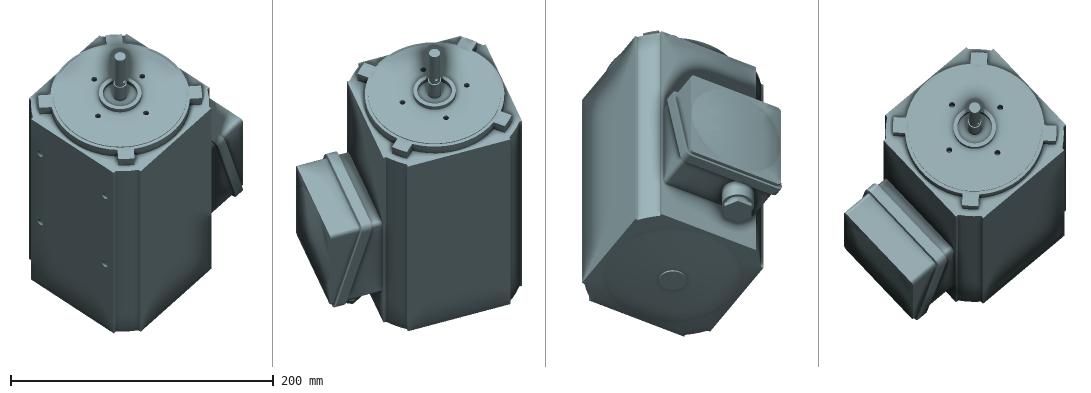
import cadquery as cq
import math


overall_depth = 157.5

housing_width = 112.0
housing_height = 188.9
face_width = 82.8
corner_arc_radius = 67.9

bottom_dome_radius = 52.1
bottom_dome_height = 4.5
button_radius = 10.5
button_bottom_z = -5.5

flange_radius = 53.1
flange_thickness = 7.7
tab_end_radius = 62.4
tab_width = 12.5
face_disc_radius = 50.6
face_disc_height = 0.7
flange_top_z = housing_height + flange_thickness
face_top_z = flange_top_z + face_disc_height

ring_outer_radius = 16.2
ring_inner_radius = 13.2
ring_height = 3.7
ring_recess_depth = ring_height
face_hole_count = 4
face_hole_circle_radius = 26.0
face_hole_diameter = 4.5
face_hole_depth = 7.5

collar_diameter = 10.0
collar_top_z = 213.0
shaft_diameter = 8.5
shaft_top_z = 244.0
pin_hole_diameter = 2.5
pin_hole_z = 217.5

side_hole_spacing_x = 64.5
side_hole_levels = (74.8, 155.0)
side_hole_diameter = 5.7
side_hole_depth = 10.0

box_size = 78.8
box_center_z = 72.0
box_corner_radius = 3.2
box_end_y = 98.0
lid_dome_radius = 38.5
lid_dome_height = overall_depth - housing_width / 2 - box_end_y

band_size = 84.3
band_corner_radius = 5.2
band_thickness_y = 8.2
band_low_y_at_top = 64.9
band_low_y_at_bottom = 87.8

gland_x = -14.5
gland_y = 75.3
gland_radius = 12.2
gland_bottom_z = 18.7
gland_neck_radius = 10.0
nut_across_flats = 20.5
nut_top_z = 15.7
nut_bottom_z = 12.5


def cylinder(radius, z_low, z_high, x=0, y=0):
    """Vertical cylinder between two heights."""
    return cq.Workplane("XY", origin=(x, y, z_low)).circle(radius).extrude(z_high - z_low)


def spherical_cap(radius, height):
    """Shallow cap standing on the XY plane, bulging towards +Z."""
    sphere_radius = (radius**2 + height**2) / (2 * height)
    sphere = cq.Workplane("XY").sphere(sphere_radius).translate((0, 0, height - sphere_radius))
    return sphere.intersect(cylinder(radius, 0, height))


def rounded_square_bar(size, corner_radius, y_low, y_high):
    """Square bar along Y, level with the terminal box, with rounded long edges."""
    length = y_high - y_low
    bar = cq.Workplane("XY").box(size, length, size).edges("|Y").fillet(corner_radius)
    return bar.translate((0, y_low + length / 2, box_center_z))


def make_housing():
    """Two crossed slabs, filled in at the corners by a round column."""
    slab_x = cq.Workplane("XY").rect(housing_width, face_width).extrude(housing_height)
    slab_y = cq.Workplane("XY").rect(face_width, housing_width).extrude(housing_height)
    square = cq.Workplane("XY").rect(housing_width, housing_width).extrude(housing_height)
    column = cylinder(corner_arc_radius, 0, housing_height).intersect(square)
    return column.union(slab_x).union(slab_y)


def make_bottom():
    dome = spherical_cap(bottom_dome_radius, bottom_dome_height).mirror("XY")
    return dome.union(cylinder(button_radius, button_bottom_z, 0))


def make_flange():
    """Disc with a cross of two diagonal bars, whose ends form the tabs."""
    flange = cylinder(flange_radius, housing_height, flange_top_z)
    tab_outline = cylinder(tab_end_radius, housing_height, flange_top_z)
    for angle in (45, 135):
        bar = (
            cq.Workplane("XY", origin=(0, 0, housing_height))
            .rect(2 * tab_end_radius, tab_width)
            .extrude(flange_thickness)
            .rotate((0, 0, 0), (0, 0, 1), angle)
        )
        flange = flange.union(bar.intersect(tab_outline))
    return flange.union(cylinder(face_disc_radius, flange_top_z, face_top_z))


def add_pilot_ring(flange):
    ring_top_z = face_top_z + ring_height
    ring = cylinder(ring_outer_radius, face_top_z, ring_top_z)
    bore = cylinder(ring_inner_radius, ring_top_z - ring_recess_depth, ring_top_z)
    return flange.union(ring).cut(bore)


def make_face_holes():
    return (
        cq.Workplane("XY", origin=(0, 0, face_top_z))
        .polarArray(face_hole_circle_radius, 0, 360, face_hole_count)
        .circle(face_hole_diameter / 2)
        .extrude(-face_hole_depth)
    )


def make_shaft():
    collar = cylinder(collar_diameter / 2, housing_height, collar_top_z)
    shaft = collar.union(cylinder(shaft_diameter / 2, collar_top_z, shaft_top_z))
    pin_hole = (
        cq.Workplane("YZ", origin=(0, 0, pin_hole_z))
        .circle(pin_hole_diameter / 2)
        .extrude(shaft_diameter, both=True)
    )
    return shaft.cut(pin_hole)


def make_side_holes():
    holes = cq.Workplane("XY")
    for z in side_hole_levels:
        for x in (-side_hole_spacing_x / 2, side_hole_spacing_x / 2):
            hole = (
                cq.Workplane("XZ", origin=(x, -housing_width / 2, z))
                .circle(side_hole_diameter / 2)
                .extrude(-side_hole_depth)
            )
            holes = holes.add(hole)
    return holes.combine()


def make_terminal_box():
    box = rounded_square_bar(box_size, box_corner_radius, 0, box_end_y)
    lid_dome = (
        spherical_cap(lid_dome_radius, lid_dome_height)
        .rotate((0, 0, 0), (1, 0, 0), -90)
        .translate((0, box_end_y, box_center_z))
    )
    return box.union(lid_dome)


def make_band():
    """Slice of a larger rounded bar between two parallel slanted planes."""
    z_top = box_center_z + band_size / 2
    z_bottom = box_center_z - band_size / 2
    slice_between_planes = (
        cq.Workplane("YZ")
        .moveTo(band_low_y_at_top, z_top)
        .lineTo(band_low_y_at_top + band_thickness_y, z_top)
        .lineTo(band_low_y_at_bottom + band_thickness_y, z_bottom)
        .lineTo(band_low_y_at_bottom, z_bottom)
        .close()
        .extrude(band_size, both=True)
    )
    bar = rounded_square_bar(
        band_size, band_corner_radius, band_low_y_at_top, band_low_y_at_bottom + band_thickness_y
    )
    return bar.intersect(slice_between_planes)


def make_gland():
    """Round gland body with a neck and a hexagonal nut, corners towards +X and -X."""
    body = cylinder(gland_radius, gland_bottom_z, box_center_z, gland_x, gland_y)
    neck = cylinder(gland_neck_radius, nut_top_z, gland_bottom_z, gland_x, gland_y)
    across_corners = nut_across_flats / math.cos(math.radians(30))
    nut = (
        cq.Workplane("XY", origin=(gland_x, gland_y, nut_bottom_z))
        .polygon(6, across_corners)
        .extrude(nut_top_z - nut_bottom_z)
    )
    return body.union(neck).union(nut)


result = (
    make_housing()
    .union(make_bottom())
    .union(add_pilot_ring(make_flange()))
    .union(make_shaft())
    .union(make_terminal_box())
    .union(make_band())
    .union(make_gland())
    .cut(make_face_holes())
    .cut(make_side_holes())
)